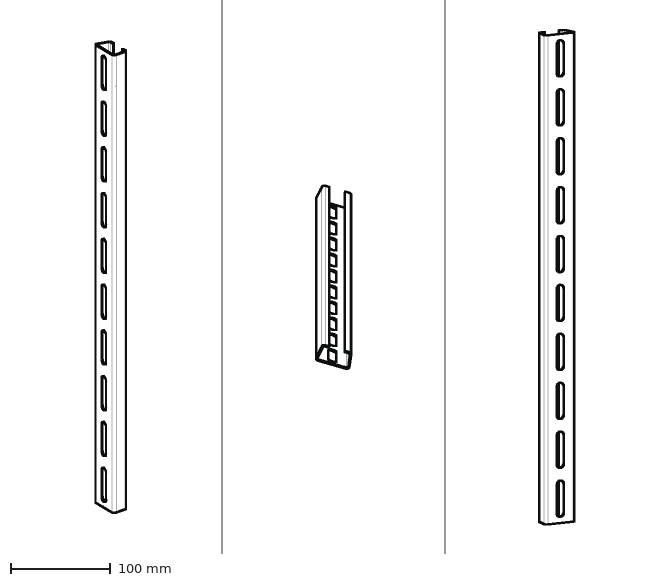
import cadquery as cq
import math

LENGTH = 500.0
WIDTH = 34.97
DEPTH = 18.0
SHEET = 1.5

WALL_LEAN = math.radians(9.0)
MOUTH_WIDTH = 16.5
BACK_BEND_RADIUS = 3.0
LIP_BEND_RADIUS = 3.0

SLOT_COUNT = 10
SLOT_PITCH = LENGTH / SLOT_COUNT
SLOT_LENGTH = 37.0
SLOT_WIDTH = 8.5

BACK_Y = -DEPTH / 2
FRONT_Y = DEPTH / 2


def wall_x(y, inset):
    """X of the flat leaning wall surface at depth y, offset inward by inset.

    The full width is reached on the round of the back bend, whose center
    stays the same for the outer and inner surfaces.
    """
    bend_center_x = WIDTH / 2 - BACK_BEND_RADIUS
    bend_center_y = BACK_Y + BACK_BEND_RADIUS
    reach = (BACK_BEND_RADIUS - inset) / math.cos(WALL_LEAN)
    return bend_center_x + reach - (y - bend_center_y) * math.tan(WALL_LEAN)


def trapezoid(inset):
    """Prism with rounded corners, bounded by the sheet surface at the given inset."""
    back = BACK_Y + inset
    front = FRONT_Y - inset
    outline = [
        (-wall_x(back, inset), back),
        (wall_x(back, inset), back),
        (wall_x(front, inset), front),
        (-wall_x(front, inset), front),
    ]
    prism = cq.Workplane("XY").polyline(outline).close().extrude(LENGTH)
    prism = prism.edges("|Z").edges("<Y").fillet(BACK_BEND_RADIUS - inset)
    return prism.edges("|Z").edges(">Y").fillet(LIP_BEND_RADIUS - inset)


def make_channel():
    """Bent sheet profile, open along the middle of its front."""
    mouth = (
        cq.Workplane("XY")
        .center(0, FRONT_Y)
        .rect(MOUTH_WIDTH, DEPTH)
        .extrude(LENGTH)
    )
    return trapezoid(0).cut(trapezoid(SHEET)).cut(mouth)


def make_slots():
    """Evenly spaced lengthwise slots, cut through the back only."""
    return (
        cq.Workplane("XZ", origin=(0, BACK_Y + SHEET, LENGTH / 2))
        .rarray(SLOT_PITCH, SLOT_PITCH, 1, SLOT_COUNT)
        .slot2D(SLOT_LENGTH, SLOT_WIDTH, 90)
        .extrude(SHEET)
    )


result = make_channel().cut(make_slots())